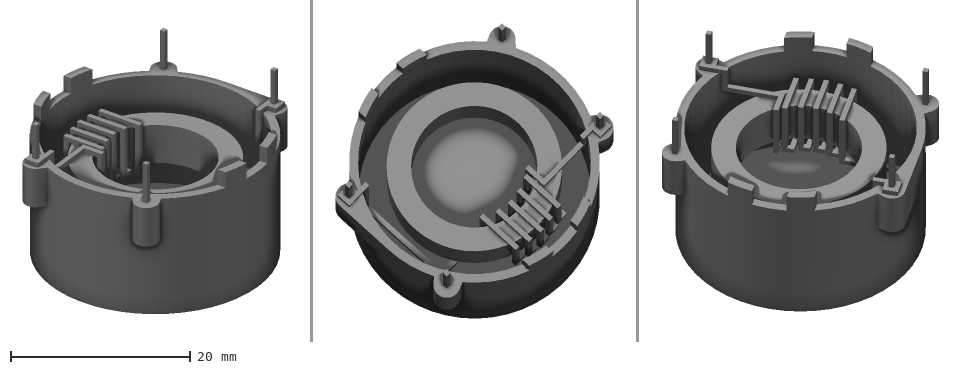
import cadquery as cq
import math

housing_radius = 14.0
housing_height = 15.0
wall = 1.0
floor_thickness = 1.0
cavity_radius = housing_radius - wall

standoff_height = 2.0
standoff_inner_y = 2.0
standoff_width = 3.0
standoff_top = housing_height + standoff_height

pin_x = 7.5
pin_y = 12.5
pin_size = 0.6
pin_length = 5.0
ear_radius = housing_radius - pin_y
ear_height = 5.0
ear_bottom = housing_height - ear_height
ear_root_radius = 2.0
ear_root_inset = 3.4

connected_pins = [(pin_x, pin_y), (-pin_x, -pin_y)]
free_pins = [(-pin_x, pin_y), (pin_x, -pin_y)]

core_x = 0.17
core_y = -0.14
core_outer_radius = 9.8
core_bore_radius = 7.05
core_bottom = 7.3
core_height = 4.9
core_top = core_bottom + core_height

wire_size = 0.6
half_wire = wire_size / 2
gap_above_core = 0.3
gap_below_core = 0.1
first_turn_y = 3.62
turn_pitch = 1.68
turn_advance = 0.88
turn_outer_x = [-9.7, -10.1, -10.3, -10.1, -9.8]
turn_inner_x = [-4.74, -5.62, -5.92, -5.72, -5.13]
last_inner_x = -4.6
lead_y = 10.45
upper_z = core_top + gap_above_core + half_wire
lower_z = core_bottom - gap_below_core - half_wire
rim_z = housing_height + half_wire


def box_between(low, high):
    """Box spanning two opposite corners."""
    size = [b - a for a, b in zip(low, high)]
    return cq.Workplane("XY").box(*size, centered=False).translate(low)


def make_ear(x, y):
    """Rounded ear whose straight flanks spread towards the wall, flush with the rim."""
    reach = math.hypot(x, y)
    root = reach - ear_root_inset
    spread = math.asin((ear_root_radius - ear_radius) / ear_root_inset)
    root_x = root + ear_root_radius * math.sin(spread)
    root_y = ear_root_radius * math.cos(spread)
    tip_x = reach + ear_radius * math.sin(spread)
    tip_y = ear_radius * math.cos(spread)
    ear = (
        cq.Workplane("XY", origin=(0, 0, ear_bottom))
        .moveTo(root_x, -root_y)
        .lineTo(tip_x, -tip_y)
        .threePointArc((reach + ear_radius, 0), (tip_x, tip_y))
        .lineTo(root_x, root_y)
        .close()
        .extrude(ear_height)
    )
    return ear.rotate((0, 0, 0), (0, 0, 1), math.degrees(math.atan2(y, x)))


def make_web():
    """Straight-sided web from the crown of the wall to the +X +Y ear."""
    return box_between((0, pin_y - ear_radius, ear_bottom), (pin_x, housing_radius, housing_height))


def make_standoffs(y):
    """Opposite pair of rim stand-offs starting at the given Y, following the wall curve."""
    disc = cq.Workplane("XY").circle(housing_radius).extrude(standoff_top)
    band = box_between(
        (-housing_radius, y, housing_height),
        (housing_radius, y + standoff_width, standoff_top),
    )
    return disc.intersect(band)


def make_housing():
    body = cq.Workplane("XY").circle(housing_radius).extrude(housing_height)
    for x, y in connected_pins + free_pins:
        body = body.union(make_ear(x, y))
    body = body.union(make_web())
    for y in (standoff_inner_y, -standoff_inner_y - standoff_width):
        body = body.union(make_standoffs(y))
    cavity = (
        cq.Workplane("XY", origin=(0, 0, floor_thickness))
        .circle(cavity_radius)
        .extrude(standoff_top - floor_thickness)
    )
    return body.cut(cavity)


def make_core():
    return (
        cq.Workplane("XY", origin=(core_x, core_y, core_bottom))
        .circle(core_outer_radius)
        .circle(core_bore_radius)
        .extrude(core_height)
    )


def make_pin(x, y):
    return (
        cq.Workplane("XY", origin=(x, y, housing_height))
        .rect(pin_size, pin_size)
        .extrude(pin_length)
    )


def winding_path():
    """Corner points of the wire centreline, from the +X +Y pin to the -X -Y pin."""
    start_x = pin_x - wire_size
    end_x = -pin_x + wire_size
    path = [
        (start_x, pin_y, rim_z),
        (start_x, lead_y, rim_z),
        (start_x, lead_y, lower_z),
        (turn_inner_x[0], lead_y, lower_z),
    ]
    ends = turn_inner_x[1:] + [last_inner_x]
    for turn, (start, outer, end) in enumerate(zip(turn_inner_x, turn_outer_x, ends)):
        y = first_turn_y - turn * turn_pitch
        path += [
            (start, y, lower_z),
            (start, y, upper_z),
            (outer, y, upper_z),
            (outer, y, lower_z),
            (outer, y - turn_advance, lower_z),
            (end, y - turn_advance, lower_z),
        ]
    last_y = first_turn_y - (len(turn_outer_x) - 1) * turn_pitch - turn_advance
    path += [
        (last_inner_x, last_y, upper_z),
        (end_x, last_y, upper_z),
        (end_x, -lead_y, upper_z),
        (end_x, -lead_y, rim_z),
        (end_x, -pin_y, rim_z),
    ]
    return path


def make_wire_run(start, end):
    """Straight length of square wire, with square ends that fill the corners."""
    low = tuple(min(a, b) - half_wire for a, b in zip(start, end))
    high = tuple(max(a, b) + half_wire for a, b in zip(start, end))
    return box_between(low, high)


def make_pin_loop(x, y):
    """Square loop of wire around a pin, lying on the rim."""
    loop_size = pin_size + 2 * wire_size
    return (
        cq.Workplane("XY", origin=(x, y, housing_height))
        .rect(loop_size, loop_size)
        .extrude(wire_size)
    )


def make_winding():
    """Wire from pin to pin, joined to the two pins it connects."""
    winding = cq.Workplane("XY")
    path = winding_path()
    for start, end in zip(path, path[1:]):
        winding = winding.add(make_wire_run(start, end))
    for x, y in connected_pins:
        winding = winding.add(make_pin_loop(x, y)).add(make_pin(x, y))
    return winding.combine()


housing = make_housing()
core = make_core()
winding = make_winding()
pins = [make_pin(x, y) for x, y in free_pins]

result = cq.Compound.makeCompound(
    [housing.val(), core.val(), *winding.solids().vals(), *[pin.val() for pin in pins]]
)